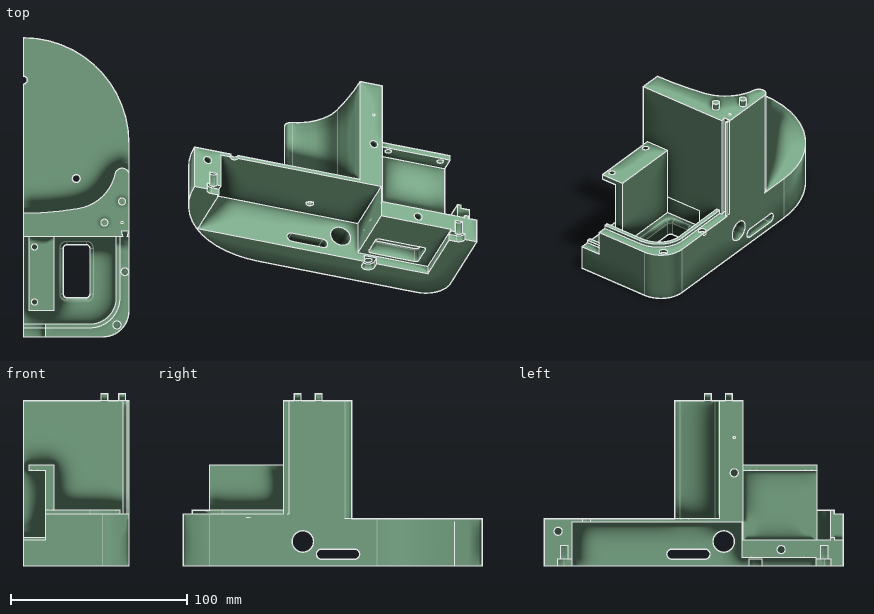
import cadquery as cq
import math

WIDTH = 60.0
LENGTH = 170.0
BASE_HEIGHT = 27.0
TOWER_TOP = 94.0
PIN_HEIGHT = 4.0
FRONT_CORNER_RADIUS = 15.0

TOWER_FRONT = 57.0
TOWER_BACK = 70.3
HORN_RADIUS = 4.0
HORN_CENTRE = (WIDTH - HORN_RADIUS, 91.9)
SHALLOW_RADIUS = 185.0
TIGHT_RADIUS = 25.5
TOWER_ROOT = BASE_HEIGHT - 1.0

PLATE_THICKNESS = 2.0
RECESS_DEPTH_X = 40.0
REAR_RECESS_FRONT = 57.6
REAR_RECESS_BACK = 154.0
FRONT_RECESS_FRONT = 15.5
FRONT_RECESS_HEIGHT = 5.0

FLOOR_TOP = 14.8
RIM_TOP = 29.7
LIP_TOP = 31.8
RIM_WIDTH = 5.2
LIP_WIDTH = 2.1
TRAY_CORNER_RADIUS = 15.0
NOTCH_WIDTH = 12.4
NOTCH_LIP_TOP = 16.4

WINDOW_CENTRE = (30.2, 37.4)
WINDOW_SIZE = (15.0, 30.0)
WINDOW_CORNER_RADIUS = 2.0
WINDOW_EDGE_RADIUS = 2.0

BRACKET_FRONT = 15.0
BRACKET_TOP = 57.5
BRACKET_WALL = 5.1
BRACKET_FLANGE_START = 3.1
BRACKET_FLANGE_THICKNESS = 3.1
BRACKET_HOLE_DIAMETER = 3.5
BRACKET_HOLES = [(6.3, 19.9), (6.3, 51.2)]

GROOVE_CENTRE_X = 57.65
GROOVE_MOUTH = 2.4
GROOVE_FLOOR = 4.0
GROOVE_DEPTH = 3.1

PIN_DIAMETER = 4.0
PINS = [(46.0, 65.0), (56.0, 77.0)]
PINHOLE_DIAMETER = 1.3
PINHOLE_DEPTH = 10.0
TOP_PINHOLE = (56.0, 65.0)
SIDE_PINHOLE = (62.0, 73.0)
SIDE_HOLE_DIAMETER = 4.6
SIDE_HOLE_DEPTH = 10.0
SIDE_HOLES = [(162.0, 19.8), (62.0, 53.0), (35.4, 9.4)]
RIM_HOLE_DEPTH = 2.0
RIM_HOLES = [(53.1, 6.9, 4.6), (57.6, 37.1, 4.3)]
PLATE_HOLE_DIAMETER = 4.3
PLATE_HOLES = [(30.0, 90.0), (0.0, 145.9)]
CABLE_HOLE_DIAMETER = 12.0
CABLE_HOLE = (68.0, 14.0)
SIDE_SLOT_CENTRE = (88.0, 6.8)
SIDE_SLOT_LENGTH = 24.4
SIDE_SLOT_WIDTH = 5.6
BOLT_DIAMETER = 4.3
BOLT_HOLE_TOP = 11.8
NUT_SLOT_WIDTH = 7.4
NUT_SLOT_HEIGHT = 4.0
REAR_BOLT = (0.0, 158.6)
FRONT_BOLT = (0.0, 10.9)
SIDE_BOLT = (RECESS_DEPTH_X + 4.0, 50.0)


def box(x_range, y_range, z_range):
    """Box spanning the given (start, end) ranges."""
    size = [end - start for start, end in (x_range, y_range, z_range)]
    corner = (x_range[0], y_range[0], z_range[0])
    return cq.Workplane("XY").box(*size, centered=False).translate(corner)


def upright(x, y, diameter, bottom, top):
    """Cylinder along Z."""
    return cq.Workplane("XY", origin=(x, y, bottom)).circle(diameter / 2).extrude(top - bottom)


def crosswise(y, z, diameter, depth):
    """Cylinder running from the flat side in the +X direction."""
    return cq.Workplane("YZ").center(y, z).circle(diameter / 2).extrude(depth)


def base_block():
    arc_middle = WIDTH * 0.5 ** 0.5
    arc_centre_y = LENGTH - WIDTH
    outline = (
        cq.Workplane("XY")
        .lineTo(WIDTH, 0)
        .lineTo(WIDTH, arc_centre_y)
        .threePointArc((arc_middle, arc_centre_y + arc_middle), (0, LENGTH))
        .close()
    )
    return outline.extrude(BASE_HEIGHT).edges("|Z and >X and <Y").fillet(FRONT_CORNER_RADIUS)


def point_towards(start, target, distance):
    """Point at the given distance from start, in the direction of target."""
    run_x = target[0] - start[0]
    run_y = target[1] - start[1]
    scale = distance / math.hypot(run_x, run_y)
    return (start[0] + run_x * scale, start[1] + run_y * scale)


def tight_arc_centre(shallow_centre):
    """Centre of the arc tangent inside the shallow arc and outside the horn tip."""
    span_x = HORN_CENTRE[0] - shallow_centre[0]
    span_y = HORN_CENTRE[1] - shallow_centre[1]
    span = math.hypot(span_x, span_y)
    to_shallow = SHALLOW_RADIUS - TIGHT_RADIUS
    to_horn = TIGHT_RADIUS + HORN_RADIUS
    along = (span**2 + to_shallow**2 - to_horn**2) / (2 * span)
    heading = math.atan2(span_y, span_x) - math.acos(along / to_shallow)
    return (
        shallow_centre[0] + to_shallow * math.cos(heading),
        shallow_centre[1] + to_shallow * math.sin(heading),
    )


def middle_of_arc(centre, start, end, radius):
    """Middle point of the minor arc from start to end."""
    chord_middle = ((start[0] + end[0]) / 2, (start[1] + end[1]) / 2)
    return point_towards(centre, chord_middle, radius)


def tower():
    horn_x, horn_y = HORN_CENTRE
    shallow_centre = (0, TOWER_BACK + SHALLOW_RADIUS)
    tight_centre = tight_arc_centre(shallow_centre)
    horn_join = point_towards(HORN_CENTRE, tight_centre, HORN_RADIUS)
    arc_join = point_towards(shallow_centre, tight_centre, SHALLOW_RADIUS)
    back_corner = (0, TOWER_BACK)
    tight_middle = middle_of_arc(tight_centre, horn_join, arc_join, TIGHT_RADIUS)
    shallow_middle = middle_of_arc(shallow_centre, arc_join, back_corner, SHALLOW_RADIUS)
    outline = (
        cq.Workplane("XY", origin=(0, 0, TOWER_ROOT))
        .moveTo(0, TOWER_FRONT)
        .lineTo(WIDTH, TOWER_FRONT)
        .lineTo(WIDTH, horn_y)
        .threePointArc((horn_x, horn_y + HORN_RADIUS), horn_join)
        .threePointArc(tight_middle, arc_join)
        .threePointArc(shallow_middle, back_corner)
        .close()
    )
    return outline.extrude(TOWER_TOP - TOWER_ROOT)


def tray_prism(inset, corner_radius, bottom, top):
    """Prism inset from the front and +X sides, with one rounded corner, up to the tower."""
    prism = box((0, WIDTH - inset), (inset, TOWER_FRONT), (bottom, top))
    return prism.edges("|Z and >X and <Y").fillet(corner_radius)


def add_tray(body):
    inner_inset = RIM_WIDTH + LIP_WIDTH
    lip_radius = TRAY_CORNER_RADIUS + LIP_WIDTH
    rim = tray_prism(0, FRONT_CORNER_RADIUS, FLOOR_TOP, RIM_TOP)
    lip = tray_prism(RIM_WIDTH, lip_radius, FLOOR_TOP, LIP_TOP)
    cavity = tray_prism(inner_inset, TRAY_CORNER_RADIUS, FLOOR_TOP, LIP_TOP)
    notch = box((0, NOTCH_WIDTH), (0, inner_inset), (FLOOR_TOP, LIP_TOP))
    notch_lip = box((0, NOTCH_WIDTH), (RIM_WIDTH, inner_inset), (FLOOR_TOP, NOTCH_LIP_TOP))
    return body.union(rim).union(lip).cut(cavity).cut(notch).union(notch_lip)


def cut_underside(body):
    rear = box(
        (0, RECESS_DEPTH_X),
        (REAR_RECESS_FRONT, REAR_RECESS_BACK),
        (0, BASE_HEIGHT - PLATE_THICKNESS),
    )
    front = box((0, RECESS_DEPTH_X), (FRONT_RECESS_FRONT, REAR_RECESS_FRONT), (0, FRONT_RECESS_HEIGHT))
    return body.cut(rear).cut(front)


def cut_window(body):
    window = (
        cq.Workplane("XY")
        .center(*WINDOW_CENTRE)
        .rect(*WINDOW_SIZE)
        .extrude(FLOOR_TOP)
        .edges("|Z")
        .fillet(WINDOW_CORNER_RADIUS)
    )
    margin = 0.1
    half_x = WINDOW_SIZE[0] / 2 + margin
    half_y = WINDOW_SIZE[1] / 2 + margin
    window_top_edges = cq.selectors.BoxSelector(
        (WINDOW_CENTRE[0] - half_x, WINDOW_CENTRE[1] - half_y, FLOOR_TOP - margin),
        (WINDOW_CENTRE[0] + half_x, WINDOW_CENTRE[1] + half_y, FLOOR_TOP + margin),
    )
    return body.cut(window).edges(window_top_edges).fillet(WINDOW_EDGE_RADIUS)


def bracket():
    wall_end = NOTCH_WIDTH + BRACKET_WALL
    y_range = (BRACKET_FRONT, TOWER_FRONT)
    flange_bottom = BRACKET_TOP - BRACKET_FLANGE_THICKNESS
    wall = box((NOTCH_WIDTH, wall_end), y_range, (FLOOR_TOP, BRACKET_TOP))
    flange = box((BRACKET_FLANGE_START, wall_end), y_range, (flange_bottom, BRACKET_TOP))
    shape = wall.union(flange)
    for x, y in BRACKET_HOLES:
        shape = shape.cut(upright(x, y, BRACKET_HOLE_DIAMETER, flange_bottom, BRACKET_TOP))
    return shape


def dovetail_groove():
    groove_back = TOWER_FRONT + GROOVE_DEPTH
    outline = [
        (GROOVE_CENTRE_X - GROOVE_MOUTH / 2, TOWER_FRONT),
        (GROOVE_CENTRE_X + GROOVE_MOUTH / 2, TOWER_FRONT),
        (GROOVE_CENTRE_X + GROOVE_FLOOR / 2, groove_back),
        (GROOVE_CENTRE_X - GROOVE_FLOOR / 2, groove_back),
    ]
    base = cq.Workplane("XY", origin=(0, 0, RIM_TOP))
    return base.polyline(outline).close().extrude(TOWER_TOP - RIM_TOP)


def nut_slot(centre, opening):
    """Bolt hole over a nut slot whose round end is at the bolt; it runs out by the opening vector."""
    x, y = centre
    run_x, run_y = opening
    half = NUT_SLOT_WIDTH / 2
    x_margin = 0 if run_x else half
    y_margin = 0 if run_y else half
    run = box(
        (min(x, x + run_x) - x_margin, max(x, x + run_x) + x_margin),
        (min(y, y + run_y) - y_margin, max(y, y + run_y) + y_margin),
        (0, NUT_SLOT_HEIGHT),
    )
    bolt = upright(x, y, BOLT_DIAMETER, 0, BOLT_HOLE_TOP)
    return upright(x, y, NUT_SLOT_WIDTH, 0, NUT_SLOT_HEIGHT).union(run).union(bolt)


def cut_holes(body):
    for x, y in PLATE_HOLES:
        body = body.cut(upright(x, y, PLATE_HOLE_DIAMETER, 0, BASE_HEIGHT))
    for x, y, diameter in RIM_HOLES:
        body = body.cut(upright(x, y, diameter, RIM_TOP - RIM_HOLE_DEPTH, RIM_TOP))
    for y, z in SIDE_HOLES:
        body = body.cut(crosswise(y, z, SIDE_HOLE_DIAMETER, SIDE_HOLE_DEPTH))
    body = body.cut(crosswise(*SIDE_PINHOLE, PINHOLE_DIAMETER, PINHOLE_DEPTH))
    body = body.cut(upright(*TOP_PINHOLE, PINHOLE_DIAMETER, TOWER_TOP - PINHOLE_DEPTH, TOWER_TOP))
    body = body.cut(crosswise(*CABLE_HOLE, CABLE_HOLE_DIAMETER, WIDTH))
    side_slot = cq.Workplane("YZ").center(*SIDE_SLOT_CENTRE).slot2D(SIDE_SLOT_LENGTH, SIDE_SLOT_WIDTH)
    return body.cut(side_slot.extrude(WIDTH))


def cut_nut_slots(body):
    body = body.cut(nut_slot(REAR_BOLT, (0, REAR_RECESS_BACK - REAR_BOLT[1])))
    body = body.cut(nut_slot(FRONT_BOLT, (0, FRONT_RECESS_FRONT - FRONT_BOLT[1])))
    return body.cut(nut_slot(SIDE_BOLT, (RECESS_DEPTH_X - SIDE_BOLT[0], 0)))


part = add_tray(base_block().union(tower()))
part = cut_window(part)
part = cut_underside(part)
part = part.union(bracket()).cut(dovetail_groove())
part = cut_nut_slots(cut_holes(part))
for pin_x, pin_y in PINS:
    part = part.union(upright(pin_x, pin_y, PIN_DIAMETER, TOWER_TOP, TOWER_TOP + PIN_HEIGHT))
result = part